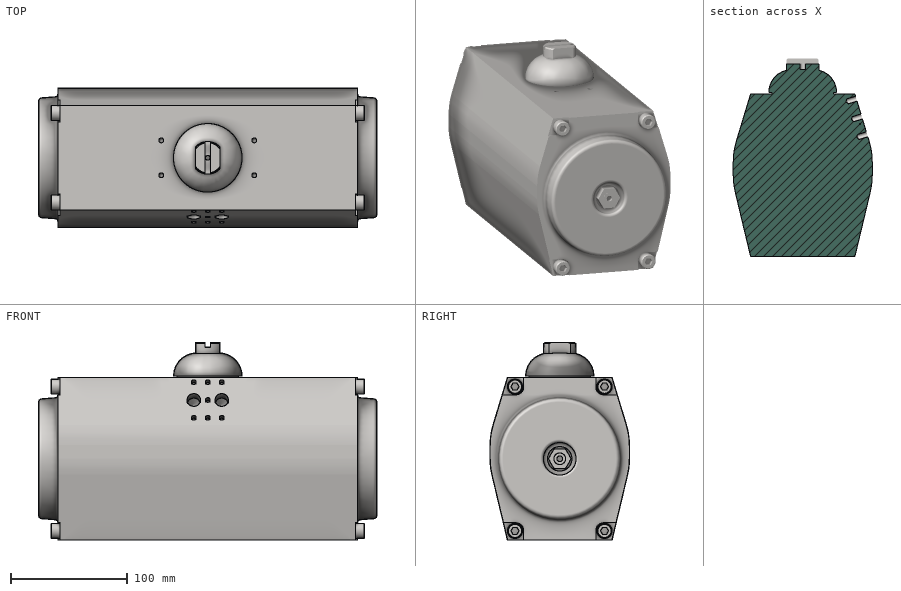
import cadquery as cq
import math


body_length = 258.0
body_height = 140.0
top_width = 90.0
side_radius = 60.0
upper_flank_z = 11.5
half_length = body_length / 2
half_height = body_height / 2
half_top_width = top_width / 2

overall_length = 291.0
cap_face_x = overall_length / 2
cap_face_radius = 51.4
cap_draft = math.radians(4.5)
cap_edge_round = 3.0
cap_root_fillet = 2.2
pocket_diameter = 28.0
pocket_depth = 6.0
pocket_floor_fillet = 3.0
pocket_rim_round = 2.5
nut_bore_diameter = 21.0
nut_bore_depth = 2.0
nut_seat_x = cap_face_x - pocket_depth - nut_bore_depth

nut_flats = 17.0
nut_height = 7.5
stop_screw_diameter = 10.0
stop_screw_hole_diameter = 4.92
stop_screw_hole_depth = 4.0

screw_y = 38.5
screw_z = 62.0
screw_head_diameter = 13.0
screw_head_height = 8.0
screw_head_chamfer = 0.8
screw_socket_flats = 6.0
screw_socket_depth = 4.0
corner_pocket_depth = 2.0
corner_pocket_radius = 7.0
corner_pocket_y = 31.0
corner_pocket_z = 55.0

shaft_top_z = 100.0
shaft_diameter = 28.0
shaft_flats = 21.0
shaft_chamfer = 1.0
slot_width = 4.5
slot_depth = 4.0
dome_radius = 29.5
dome_round = 20.0
dome_gap = 1.0
dome_neck_diameter = 53.3

small_hole_diameter = 4.13
small_hole_depth = 8.0
top_hole_spacing = (80.0, 30.0)
port_diameter = 11.45
port_depth = 13.5
interface_spacing = (24.0, 32.0)
interface_offset = 20.3
drill_tip_angle = math.radians(118.0)


def flank_tangent(center_z, edge_z):
    """Tangent point y and z, and its angle on the arc, for a line from the edge of the flat face.

    Heights are taken away from the piston axis, so the same rule serves both flanks.
    """
    rise = edge_z - center_z
    reach = math.hypot(half_top_width, rise)
    angle = math.atan2(rise, half_top_width) - math.acos(side_radius / reach)
    return side_radius * math.cos(angle), center_z + side_radius * math.sin(angle), angle


upper_y, upper_z, upper_angle = flank_tangent(upper_flank_z, half_height)
lower_y, lower_drop, lower_angle = flank_tangent(0.0, half_height)


def arc_point(center_z, angle):
    return side_radius * math.cos(angle), center_z + side_radius * math.sin(angle)


def mirrored(point):
    return -point[0], point[1]


def housing():
    upper_mid = arc_point(upper_flank_z, upper_angle / 2)
    lower_mid = arc_point(0.0, -lower_angle / 2)
    outline = (
        cq.Workplane("YZ", origin=(-half_length, 0, 0))
        .moveTo(-half_top_width, half_height)
        .lineTo(half_top_width, half_height)
        .lineTo(upper_y, upper_z)
        .threePointArc(upper_mid, (side_radius, upper_flank_z))
        .lineTo(side_radius, 0)
        .threePointArc(lower_mid, (lower_y, -lower_drop))
        .lineTo(half_top_width, -half_height)
        .lineTo(-half_top_width, -half_height)
        .lineTo(-lower_y, -lower_drop)
        .threePointArc(mirrored(lower_mid), (-side_radius, 0))
        .lineTo(-side_radius, upper_flank_z)
        .threePointArc(mirrored(upper_mid), (-upper_y, upper_z))
        .close()
    )
    return outline.extrude(body_length)


def cap_boss():
    """Drafted round boss on the +X end, with its fillets and the central pocket."""
    root_x = half_length + cap_root_fillet
    wall_root_radius = cap_face_radius + (cap_face_x - root_x) * math.tan(cap_draft)
    arc_rise = cap_root_fillet * (1 - math.sqrt(0.5))
    boss = (
        cq.Workplane("XY")
        .moveTo(half_length, 0)
        .lineTo(half_length, wall_root_radius + cap_root_fillet)
        .threePointArc((half_length + arc_rise, wall_root_radius + arc_rise), (root_x, wall_root_radius))
        .lineTo(cap_face_x, cap_face_radius)
        .lineTo(cap_face_x, 0)
        .close()
        .revolve(360, (0, 0, 0), (1, 0, 0))
        .faces(">X").edges().fillet(cap_edge_round)
    )
    pocket = (
        cq.Workplane("YZ", origin=(cap_face_x - pocket_depth, 0, 0))
        .circle(pocket_diameter / 2)
        .extrude(pocket_depth)
        .faces("<X").edges().fillet(pocket_floor_fillet)
    )
    nut_bore = (
        cq.Workplane("YZ", origin=(nut_seat_x, 0, 0))
        .circle(nut_bore_diameter / 2)
        .extrude(nut_bore_depth)
    )
    rim = cq.selectors.RadiusNthSelector(0)
    return boss.cut(pocket).faces(">X").edges(rim).fillet(pocket_rim_round).cut(nut_bore)


def hexagon(plane, flats, height):
    """Hexagonal prism with two corners along Y."""
    return plane.polygon(6, flats / math.cos(math.pi / 6)).extrude(height)


def stop_screw():
    seat = cq.Workplane("YZ", origin=(nut_seat_x, 0, 0))
    nut = hexagon(seat, nut_flats, nut_height)
    screw = seat.circle(stop_screw_diameter / 2).extrude(cap_face_x - nut_seat_x)
    hole = (
        cq.Workplane("YZ", origin=(cap_face_x - stop_screw_hole_depth, 0, 0))
        .circle(stop_screw_hole_diameter / 2)
        .extrude(stop_screw_hole_depth)
    )
    return nut.union(screw).cut(hole)


def corner_pocket(y_side, z_side):
    """Shallow pocket around a screw head, open to the outside of the corner."""
    size = side_radius
    return (
        cq.Workplane("XY")
        .box(corner_pocket_depth, size, size)
        .edges("|X").fillet(corner_pocket_radius)
        .translate((
            half_length - corner_pocket_depth / 2,
            y_side * (corner_pocket_y + size / 2),
            z_side * (corner_pocket_z + size / 2),
        ))
    )


def cap_screw(y_side, z_side):
    seat_x = half_length - corner_pocket_depth
    place = (0, y_side * screw_y, z_side * screw_z)
    head = (
        cq.Workplane("YZ", origin=(seat_x, 0, 0))
        .circle(screw_head_diameter / 2)
        .extrude(screw_head_height)
        .faces(">X").edges().chamfer(screw_head_chamfer)
    )
    socket_x = seat_x + screw_head_height - screw_socket_depth
    socket = hexagon(cq.Workplane("YZ", origin=(socket_x, 0, 0)), screw_socket_flats, screw_socket_depth)
    return head.cut(socket).translate(place)


def dome():
    """Indicator dome on a narrower neck."""
    base_z = half_height + dome_gap
    round_center = dome_radius - dome_round
    diagonal = dome_round * math.sqrt(0.5)
    return (
        cq.Workplane("XZ")
        .moveTo(0, half_height)
        .lineTo(dome_neck_diameter / 2, half_height)
        .lineTo(dome_neck_diameter / 2, base_z)
        .lineTo(dome_radius, base_z)
        .threePointArc((round_center + diagonal, base_z + diagonal), (round_center, base_z + dome_round))
        .lineTo(0, base_z + dome_round)
        .close()
        .revolve(360, (0, 0, 0), (0, 1, 0))
    )


def drill(diameter, depth):
    """Drilled hole from the XY plane down, with a conical tip; depth is to the full diameter."""
    radius = diameter / 2
    tip = radius / math.tan(drill_tip_angle / 2)
    return (
        cq.Workplane("XZ")
        .lineTo(radius, 0)
        .lineTo(radius, -depth)
        .lineTo(0, -depth - tip)
        .close()
        .revolve(360, (0, 0, 0), (0, 1, 0))
    )


def shaft():
    """Shaft end with two flats, a driver slot along Y and a centre hole."""
    length = shaft_top_z - half_height
    slot_floor_z = shaft_top_z - slot_depth
    post = (
        cq.Workplane("XY", origin=(0, 0, half_height))
        .circle(shaft_diameter / 2)
        .extrude(length)
        .faces(">Z").edges().chamfer(shaft_chamfer)
    )
    flats = cq.Workplane("XY", origin=(0, 0, half_height)).rect(shaft_flats, shaft_diameter).extrude(length)
    slot = (
        cq.Workplane("XY", origin=(0, 0, slot_floor_z))
        .rect(slot_width, shaft_diameter)
        .extrude(slot_depth)
    )
    center_hole = drill(small_hole_diameter, small_hole_depth).translate((0, 0, slot_floor_z))
    return post.intersect(flats).cut(slot).cut(center_hole)


def hole_set(plane, points, diameter, depth):
    """Equal drilled holes, square to a plane and placed at points given in its own axes."""
    tool = drill(diameter, depth).val()
    return [tool.moved(plane.location * cq.Location(cq.Vector(x, y, 0))) for x, y in points]


def top_holes():
    plane = cq.Plane(origin=(0, 0, half_height))
    half_x = top_hole_spacing[0] / 2
    half_y = top_hole_spacing[1] / 2
    points = [(x, y) for x in (-half_x, half_x) for y in (-half_y, half_y)]
    return hole_set(plane, points, small_hole_diameter, small_hole_depth)


def interface_holes():
    """Two air ports and seven threaded holes, square to the sloping upper flank on -Y."""
    center = (
        0,
        -half_top_width - interface_offset * math.sin(upper_angle),
        half_height - interface_offset * math.cos(upper_angle),
    )
    normal = (0, -math.cos(upper_angle), math.sin(upper_angle))
    flank = cq.Plane(origin=center, xDir=(1, 0, 0), normal=normal)
    half_x = interface_spacing[0] / 2
    half_y = interface_spacing[1] / 2
    port_points = [(-half_x, 0), (half_x, 0)]
    hole_points = [(x, y) for x in (-half_x, 0, half_x) for y in (-half_y, half_y)]
    hole_points.append((0, 0))
    ports = hole_set(flank, port_points, port_diameter, port_depth)
    holes = hole_set(flank, hole_points, small_hole_diameter, small_hole_depth)
    return ports + holes


end_parts = [cap_boss(), stop_screw()]
pockets = []
for y_side in (-1, 1):
    for z_side in (-1, 1):
        pockets.append(corner_pocket(y_side, z_side))
        end_parts.append(cap_screw(y_side, z_side))

result = housing()
for pocket in pockets:
    result = result.cut(pocket).cut(pocket.mirror("YZ"))
for end_part in end_parts:
    result = result.union(end_part).union(end_part.mirror("YZ"))

result = result.union(dome()).union(shaft())
for hole in top_holes() + interface_holes():
    result = result.cut(cq.Workplane(hole))